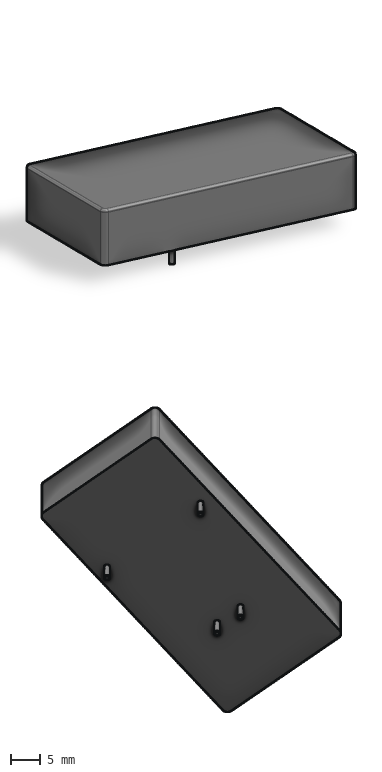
import cadquery as cq

case_width = 25.4
case_length = 50.8
case_height = 10.15
corner_radius = 1.0
top_edge_radius = 0.5

pin_diameter = 1.0
pin_length = 3.55
pin_tip_chamfer = 0.15
pin_row_y = 10.15
front_pin_x = 10.15
back_pin_x = 2.55


def make_case():
    """Rounded box standing on the XY plane."""
    block = cq.Workplane("XY").box(case_width, case_length, case_height, centered=(True, True, False))
    return block.edges("|Z").fillet(corner_radius).faces(">Z").edges().fillet(top_edge_radius)


def make_pin_row(x_offset, y):
    """Two pins placed symmetrically about the YZ plane, with chamfered tips."""
    return (
        cq.Workplane("XY")
        .pushPoints([(-x_offset, y), (x_offset, y)])
        .circle(pin_diameter / 2)
        .extrude(-pin_length)
        .faces("<Z")
        .edges()
        .chamfer(pin_tip_chamfer)
    )


front_pins = make_pin_row(front_pin_x, -pin_row_y)
back_pins = make_pin_row(back_pin_x, pin_row_y)
result = make_case().union(front_pins).union(back_pins)